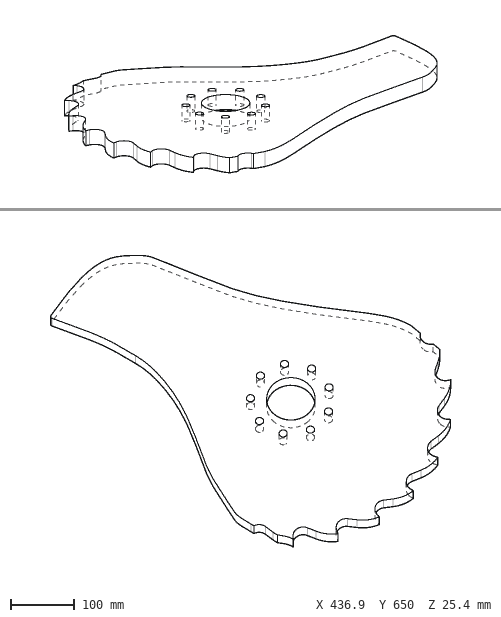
import cadquery as cq
import math

THICKNESS = 25.4
BORE_DIAMETER = 76.2
BOLT_HOLE_DIAMETER = 12.7
BOLT_CIRCLE_DIAMETER = 127.0
BOLT_COUNT = 9
FIRST_BOLT_ANGLE = 2.2

TOOTH_TIP_RADIUS = 254.0
TOOTH_PITCH_ANGLE = 16.15
TOOTH_SPAN_COUNT = 9
FIRST_TIP_ANGLE = 197.95
GULLET_RADIUS = 16.0
GULLET_CENTRE_OFFSET = 15.5
GULLET_CENTRE_DEPTH = 7.0
TOOTH_BACK_SLOPE = 25.0
TOOTH_BACK_FLAT = 15.0

BLADE_TOP = 398.16
BEAK_X = -84.6
BEAK_CORNER_RADIUS = 4.0
CLEAR_RADIUS = TOOTH_TIP_RADIUS + 20.0
FRONT_END_ANGLE = 220.0
BACK_END_ANGLE = 315.0
CLEAR_BOX = 2 * BLADE_TOP

FRONT_NECK_POINTS = [(-74.4, 339.0), (-69.3, 300.0)]
FRONT_NECK = (-68.9, 247.0)
FRONT_FLANK_POINTS = [(-76.2, 202.0), (-101.4, 143.2), (-142.5, 84.5), (-186.3, 25.7), (-216.8, -33.0)]
FRONT_WIDEST = (-223.0, -71.0)
FRONT_LOWER_POINTS = [(-218.3, -112.0), (-209.5, -139.5)]
BACK_LOWER = (205.0, -135.0)
BACK_WIDEST = (213.9, -86.0)
BACK_FLANK_POINTS = [(202.3, -33.0), (184.6, 6.1), (133.8, 123.6), (116.2, 182.4), (106.2, 241.1)]
BACK_SHOULDER = (94.5, 318.0)
CROWN_POINTS = [(83.0, 345.0), (53.0, 378.2), (-16.0, 397.0)]

BEAK_DIRECTION = (0.2, -1.0)
FRONT_END_DIRECTION = (0.64, -0.77)
BACK_SHOULDER_DIRECTION = (-0.14, 1.0)
DOWN = (0.0, -1.0)
UP = (0.0, 1.0)
TOWARDS_BEAK = (-1.0, 0.0)


def polar_point(radius, angle):
    """Point at the given radius and angle (degrees) about the hub."""
    return (radius * math.cos(math.radians(angle)), radius * math.sin(math.radians(angle)))


def tooth_frame_point(tip_angle, sideways, depth):
    """Point placed from a tooth tip: counter-clockwise sideways, and depth towards the hub."""
    radial = polar_point(TOOTH_TIP_RADIUS - depth, tip_angle)
    tangent = polar_point(sideways, tip_angle + 90)
    return (radial[0] + tangent[0], radial[1] + tangent[1])


def gullet_point(tip_angle, direction):
    """Point on the gullet circle; direction is 90 at its deepest point, 180 at the tooth face."""
    across, inward = polar_point(GULLET_RADIUS, direction)
    return tooth_frame_point(tip_angle, GULLET_CENTRE_OFFSET + across, GULLET_CENTRE_DEPTH + inward)


def add_tooth(wire, tip_angle):
    """Continue the wire from one tooth tip through its gullet to the next tooth tip."""
    gullet_end_direction = 90 - TOOTH_BACK_SLOPE
    gullet_end = polar_point(GULLET_RADIUS, gullet_end_direction)
    flat = polar_point(TOOTH_BACK_FLAT, -TOOTH_BACK_SLOPE)
    back_start = tooth_frame_point(
        tip_angle,
        GULLET_CENTRE_OFFSET + gullet_end[0] + flat[0],
        GULLET_CENTRE_DEPTH + gullet_end[1] + flat[1],
    )
    next_tip = polar_point(TOOTH_TIP_RADIUS, tip_angle + TOOTH_PITCH_ANGLE)
    return (
        wire.lineTo(*gullet_point(tip_angle, 180))
        .threePointArc(gullet_point(tip_angle, 120), gullet_point(tip_angle, gullet_end_direction))
        .lineTo(*back_start)
        .tangentArcPoint(next_tip, relative=False)
    )


def make_toothed_sheet():
    """Oversized plate whose lower edge carries the row of teeth."""
    first_tip = polar_point(TOOTH_TIP_RADIUS, FIRST_TIP_ANGLE)
    wire = cq.Workplane("XY").moveTo(*first_tip)
    for index in range(TOOTH_SPAN_COUNT):
        wire = add_tooth(wire, FIRST_TIP_ANGLE + index * TOOTH_PITCH_ANGLE)
    return (
        wire.lineTo(CLEAR_BOX, 0)
        .lineTo(CLEAR_BOX, CLEAR_BOX)
        .lineTo(-CLEAR_BOX, CLEAR_BOX)
        .lineTo(-CLEAR_BOX, 0)
        .close()
        .extrude(THICKNESS)
    )


def make_blade():
    """Smooth blade outline, running on below the tooth tips."""
    beak_side = (BEAK_X, BLADE_TOP - BEAK_CORNER_RADIUS)
    beak_top = (BEAK_X + BEAK_CORNER_RADIUS, BLADE_TOP)
    corner_inset = BEAK_CORNER_RADIUS * (1 - math.sqrt(0.5))
    beak_middle = (BEAK_X + corner_inset, BLADE_TOP - corner_inset)
    front_end = polar_point(CLEAR_RADIUS, FRONT_END_ANGLE)
    back_end = polar_point(CLEAR_RADIUS, BACK_END_ANGLE)
    return (
        cq.Workplane("XY")
        .moveTo(*beak_side)
        .spline(FRONT_NECK_POINTS + [FRONT_NECK], tangents=[BEAK_DIRECTION, DOWN], includeCurrent=True)
        .spline(FRONT_FLANK_POINTS + [FRONT_WIDEST], tangents=[DOWN, DOWN], includeCurrent=True)
        .spline(FRONT_LOWER_POINTS + [front_end], tangents=[DOWN, FRONT_END_DIRECTION], includeCurrent=True)
        .threePointArc((0, -CLEAR_RADIUS), back_end)
        .spline([BACK_LOWER, BACK_WIDEST], includeCurrent=True)
        .spline(
            BACK_FLANK_POINTS + [BACK_SHOULDER],
            tangents=[UP, BACK_SHOULDER_DIRECTION],
            includeCurrent=True,
        )
        .spline(
            CROWN_POINTS + [beak_top],
            tangents=[BACK_SHOULDER_DIRECTION, TOWARDS_BEAK],
            includeCurrent=True,
        )
        .threePointArc(beak_middle, beak_side)
        .close()
        .extrude(THICKNESS)
    )


def cut_hub_holes(plate):
    """Central bore and the ring of bolt holes around it."""
    bore = cq.Workplane("XY").circle(BORE_DIAMETER / 2).extrude(THICKNESS)
    bolt_holes = (
        cq.Workplane("XY")
        .polarArray(BOLT_CIRCLE_DIAMETER / 2, FIRST_BOLT_ANGLE, 360, BOLT_COUNT)
        .circle(BOLT_HOLE_DIAMETER / 2)
        .extrude(THICKNESS)
    )
    return plate.cut(bore).cut(bolt_holes)


result = cut_hub_holes(make_blade().intersect(make_toothed_sheet()))